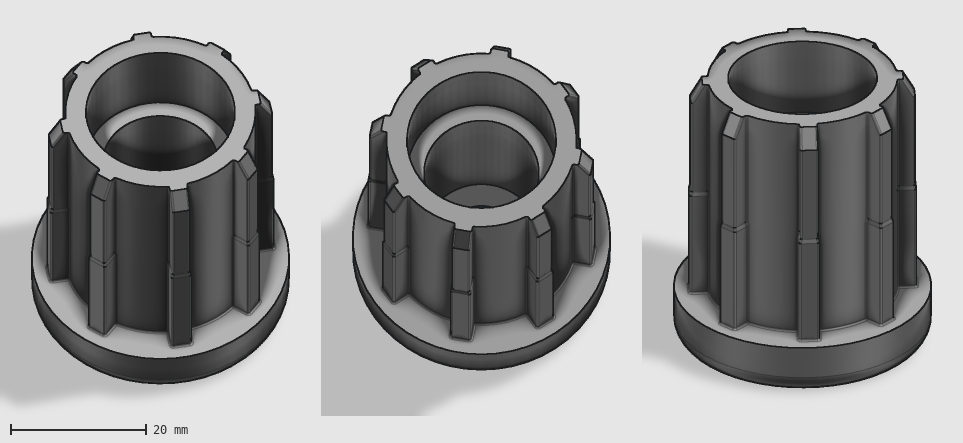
import cadquery as cq
import math

height = 43.0
flange_diameter = 38.0
flange_height = 7.9
flange_bottom_radius = 2.92

sleeve_diameter = 28.05
upper_bore_diameter = 22.0
middle_bore_diameter = 17.0
through_hole_diameter = 10.0
upper_bore_depth = 12.0
middle_bore_floor = flange_height

rib_count = 8
lower_rib_reach = 16.75
lower_rib_width = 3.0
rib_step_inset = 0.17
rib_step_bottom = 24.35
rib_step_height = 0.65
rib_lead_in_height = 3.0
rib_lead_in_angle = 30.0
small_radius = 0.3

tolerance = 0.0005

sleeve_radius = sleeve_diameter / 2
rib_root = (sleeve_radius + upper_bore_diameter / 2) / 2
upper_rib_reach = lower_rib_reach - rib_step_inset
upper_rib_width = lower_rib_width - 2 * rib_step_inset
rib_step_top = rib_step_bottom + rib_step_height
rib_lead_in_depth = rib_lead_in_height * math.tan(math.radians(rib_lead_in_angle))


def cylinder(diameter, bottom, top):
    return cq.Workplane("XY").workplane(offset=bottom).circle(diameter / 2).extrude(top - bottom)


def rib_section(reach, width, z):
    """Closed rib outline at height z, with its two outer corners rounded."""
    half = width / 2
    mid_arc_inset = small_radius * (1 - math.sqrt(0.5))
    return (
        cq.Workplane("XY")
        .workplane(offset=z)
        .moveTo(rib_root, -half)
        .lineTo(reach - small_radius, -half)
        .threePointArc((reach - mid_arc_inset, -half + mid_arc_inset), (reach, -half + small_radius))
        .lineTo(reach, half - small_radius)
        .threePointArc((reach - mid_arc_inset, half - mid_arc_inset), (reach - small_radius, half))
        .lineTo(rib_root, half)
        .close()
    )


def make_upper_rib():
    """Narrow part of the rib, with a sloped lead-in at the top and rounded outer edges."""
    return (
        cq.Workplane("XZ")
        .moveTo(rib_root, rib_step_top)
        .lineTo(upper_rib_reach, rib_step_top)
        .lineTo(upper_rib_reach, height - rib_lead_in_height)
        .lineTo(upper_rib_reach - rib_lead_in_depth, height)
        .lineTo(rib_root, height)
        .close()
        .extrude(upper_rib_width / 2, both=True)
        .faces("|Y")
        .edges("not (>Z or <Z or <X)")
        .fillet(small_radius)
    )


def make_rib():
    """Wide lower part, a short taper, and the narrow upper part, pointing along +X."""
    lower_height = rib_step_bottom - flange_height
    lower = rib_section(lower_rib_reach, lower_rib_width, flange_height).extrude(lower_height)
    taper_start = rib_section(lower_rib_reach, lower_rib_width, rib_step_bottom).wire().val()
    taper_end = rib_section(upper_rib_reach, upper_rib_width, rib_step_top).wire().val()
    taper = cq.Workplane(cq.Solid.makeLoft([taper_start, taper_end], True))
    return lower.union(taper).union(make_upper_rib())


def distance_from_axis(edge):
    start = edge.startPoint()
    return math.hypot(start.x, start.y)


def is_foot_edge(edge):
    """Edge where the sleeve or a rib stands on the flange."""
    box = edge.BoundingBox()
    on_flange_top = abs(box.zmin - flange_height) < tolerance and box.zlen < tolerance
    return on_flange_top and distance_from_axis(edge) < flange_diameter / 2 - tolerance


def is_root_edge(edge):
    """Upright edge where the side of a rib meets the sleeve."""
    box = edge.BoundingBox()
    above_flange = box.zmin > flange_height - tolerance
    on_sleeve = abs(distance_from_axis(edge) - sleeve_radius) < tolerance
    return above_flange and on_sleeve and box.zlen > tolerance


flange = cylinder(flange_diameter, 0, flange_height).faces("<Z").edges().fillet(flange_bottom_radius)
sleeve = cylinder(sleeve_diameter, flange_height, height)
body = flange.union(sleeve)
rib = make_rib()
for i in range(rib_count):
    body = body.union(rib.rotate((0, 0, 0), (0, 0, 1), i * 360 / rib_count))

body = body.edges().filter(lambda edge: is_foot_edge(edge) or is_root_edge(edge)).fillet(small_radius)

result = (
    body.cut(cylinder(upper_bore_diameter, height - upper_bore_depth, height))
    .cut(cylinder(middle_bore_diameter, middle_bore_floor, height))
    .cut(cylinder(through_hole_diameter, 0, height))
)